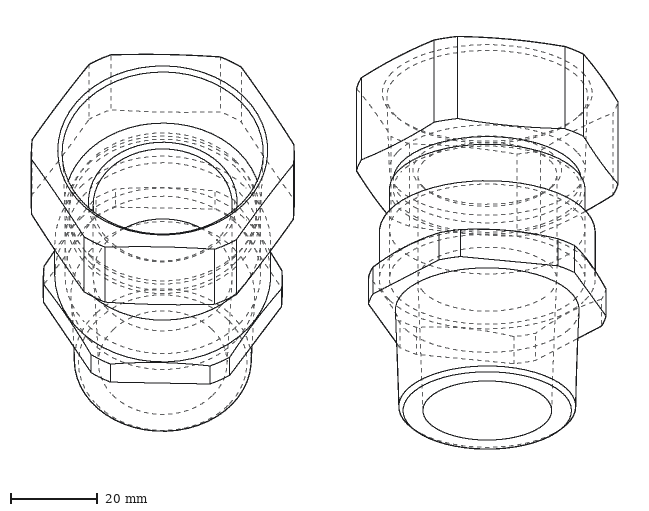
import cadquery as cq
import math


CORNER_RATIO = 1.1
TAPER = 1 / 32

THREAD_LENGTH = 26.0
THREAD_TOP_RADIUS = 21.15
THREAD_CHAMFER = 1.0
BODY_HEX_WIDTH = 50.0
BODY_HEX_HEIGHT = 8.0
BODY_HEX_CHAMFER_DROP = 1.0
COLLAR_RADIUS = 24.85
COLLAR_HEIGHT = 13.0
COLLAR_FILLET = 0.9
BODY_BORE_END_RADIUS = 14.8

SLEEVE_RADIUS = 22.5
SLEEVE_EXPOSED_LENGTH = 10.3
SLEEVE_BORE_RADIUS = 16.0
BORE_CHAMFER = 1.1
NECK_RADIUS = 21.6
NECK_LENGTH = 2.45
SOCKET_HEX_WIDTH = 55.0
SOCKET_HEX_HEIGHT = 22.5
SOCKET_HEX_FACE_RADIUS = 27.2
SOCKET_HEX_CHAMFER_DROP = 0.6
SOCKET_DEPTH = 20.0
SOCKET_MOUTH_RADIUS = 24.15
SOCKET_CHAMFER = 1.0

HEX_BOTTOM = THREAD_LENGTH
HEX_TOP = HEX_BOTTOM + BODY_HEX_HEIGHT
COLLAR_TOP = HEX_TOP + COLLAR_HEIGHT
SLEEVE_TOP = COLLAR_TOP + SLEEVE_EXPOSED_LENGTH
SOCKET_BOTTOM = SLEEVE_TOP + NECK_LENGTH
SOCKET_TOP = SOCKET_BOTTOM + SOCKET_HEX_HEIGHT
SOCKET_FLOOR = SOCKET_TOP - SOCKET_DEPTH


def revolve_profile(points):
    """Revolve a closed (radius, z) outline about the Z axis."""
    return cq.Workplane("XZ").polyline(points).close().revolve(360, (0, 0), (0, 1))


def cylinder(radius, bottom, top):
    return cq.Workplane("XY").workplane(offset=bottom).circle(radius).extrude(top - bottom)


def hexagon(width, bottom, top, face_radius, top_drop, bottom_drop):
    """Hexagon with flats on +X and -X, turned round at its corners and conically chamfered.

    Each chamfer starts at face_radius and loses its drop in height at the corners;
    a bottom_drop of zero leaves the bottom face unchamfered.
    """
    prism = (
        cq.Workplane("XY")
        .workplane(offset=bottom)
        .polygon(6, width / math.cos(math.pi / 6))
        .extrude(top - bottom)
        .rotate((0, 0, 0), (0, 0, 1), 30)
    )
    corner_radius = CORNER_RATIO * width / 2
    outline = [(0, bottom)]
    if bottom_drop > 0:
        outline.append((face_radius, bottom))
    outline += [
        (corner_radius, bottom + bottom_drop),
        (corner_radius, top - top_drop),
        (face_radius, top),
        (0, top),
    ]
    return prism.intersect(revolve_profile(outline))


def make_body():
    thread_end_radius = THREAD_TOP_RADIUS - TAPER * (THREAD_LENGTH - THREAD_CHAMFER)
    thread = revolve_profile([
        (0, 0),
        (thread_end_radius - THREAD_CHAMFER, 0),
        (thread_end_radius, THREAD_CHAMFER),
        (THREAD_TOP_RADIUS, HEX_BOTTOM),
        (0, HEX_BOTTOM),
    ])
    hex_flange = hexagon(BODY_HEX_WIDTH, HEX_BOTTOM, HEX_TOP, COLLAR_RADIUS, BODY_HEX_CHAMFER_DROP, 0)
    collar = cylinder(COLLAR_RADIUS, HEX_TOP, COLLAR_TOP).faces(">Z").edges().fillet(COLLAR_FILLET)

    sleeve_recess = cylinder(SLEEVE_RADIUS, HEX_TOP, COLLAR_TOP)
    tapered_bore = revolve_profile([
        (0, 0),
        (BODY_BORE_END_RADIUS, 0),
        (SLEEVE_BORE_RADIUS, HEX_TOP),
        (0, HEX_TOP),
    ])
    return thread.union(hex_flange).union(collar).cut(sleeve_recess).cut(tapered_bore)


def make_coupling():
    sleeve = cylinder(SLEEVE_RADIUS, HEX_TOP, SLEEVE_TOP)
    neck = cylinder(NECK_RADIUS, SLEEVE_TOP, SOCKET_BOTTOM)
    socket_hex = hexagon(
        SOCKET_HEX_WIDTH,
        SOCKET_BOTTOM,
        SOCKET_TOP,
        SOCKET_HEX_FACE_RADIUS,
        SOCKET_HEX_CHAMFER_DROP,
        SOCKET_HEX_CHAMFER_DROP,
    )

    thread_mouth_radius = SOCKET_MOUTH_RADIUS - SOCKET_CHAMFER
    thread_floor_radius = thread_mouth_radius - TAPER * (SOCKET_DEPTH - SOCKET_CHAMFER)
    cavity = revolve_profile([
        (0, HEX_TOP),
        (SLEEVE_BORE_RADIUS, HEX_TOP),
        (SLEEVE_BORE_RADIUS, SOCKET_FLOOR - BORE_CHAMFER),
        (SLEEVE_BORE_RADIUS + BORE_CHAMFER, SOCKET_FLOOR),
        (thread_floor_radius, SOCKET_FLOOR),
        (thread_mouth_radius, SOCKET_TOP - SOCKET_CHAMFER),
        (SOCKET_MOUTH_RADIUS, SOCKET_TOP),
        (0, SOCKET_TOP),
    ])
    return sleeve.union(neck).union(socket_hex).cut(cavity)


body = make_body()
coupling = make_coupling()
result = cq.Compound.makeCompound([body.solids().val(), coupling.solids().val()])